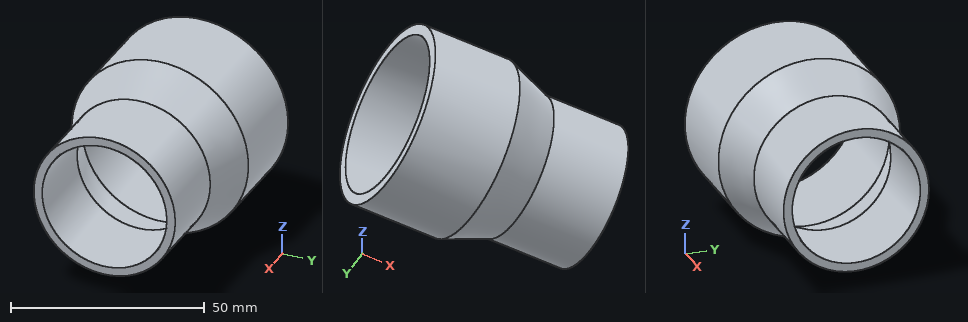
import cadquery as cq

total_length = 60.0
large_length = 25.0
small_length = 22.0

large_outer_diameter = 50.0
large_bore_diameter = 44.0
small_outer_diameter = 40.0
small_bore_diameter = 35.2

large_end_x = -total_length / 2
small_end_x = total_length / 2
taper_start_x = large_end_x + large_length
taper_end_x = small_end_x - small_length


def stepped_taper(large_diameter, small_diameter):
    """Solid of revolution about X: large cylinder, cone, small cylinder."""
    large_radius = large_diameter / 2
    small_radius = small_diameter / 2
    profile = [
        (large_end_x, 0),
        (large_end_x, large_radius),
        (taper_start_x, large_radius),
        (taper_end_x, small_radius),
        (small_end_x, small_radius),
        (small_end_x, 0),
    ]
    return cq.Workplane("XY").polyline(profile).close().revolve(360, (0, 0, 0), (1, 0, 0))


body = stepped_taper(large_outer_diameter, small_outer_diameter)
bore = stepped_taper(large_bore_diameter, small_bore_diameter)
result = body.cut(bore)